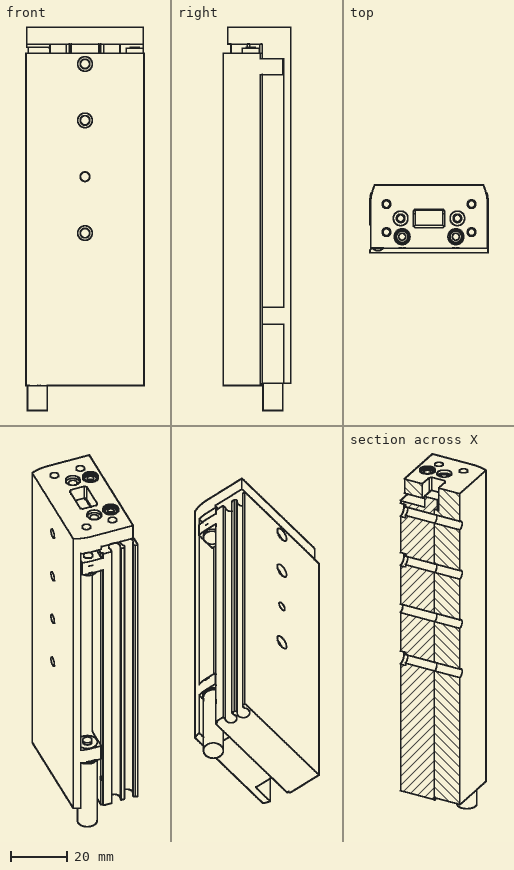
import cadquery as cq
import math


TOTAL_LENGTH = 135.8
TOTAL_DEPTH = 24.0
HOUSING_WIDTH = 42.0
SLIDE_WIDTH = 41.3

HOUSING_BOTTOM = 8.8
HOUSING_TOP = 126.5
SLIDE_BOTTOM = 9.6
YOKE_BOTTOM = 129.8
LEFT_FLANGE_BOTTOM = 128.6
BRACKET_BOTTOM = 119.0
BRACKET_TOP = 124.7
FOOT_BOTTOM = 30.5
FOOT_TOP = 36.7

SPLIT_Y = 13.9
PLATE_UNDERSIDE = 21.5
YOKE_FRONT = 1.6
BRACKET_BACK = 21.2

FLANK_START = 17.7
FLANK_RADIUS = 15.6

EDGE_STEP = 0.7
GROOVE_MOUTHS = ((1.5, 4.6), (6.2, 9.9))
GROOVE_DIAMETERS = (4.5, 4.1)
GROOVE_MOUTH_X = 19.7
TOOTH_HALF_WIDTH = 20.6
LIP_CHAMFER = 0.5
BRACKET_INNER = 13.0
BRACKET_HOLE_DIAMETER = 3.3
OIL_HOLE_DIAMETER = 1.5
OIL_HOLE_Z = 21.0

MOUNT_TOP_Z = 122.8
MOUNT_PITCH = 20.0
MOUNT_COUNT = 4
PLAIN_MOUNT = 2
MOUNT_DIAMETER = 3.3
MOUNT_BORE_DIAMETER = 5.2
MOUNT_BORE_DEPTH = 2.0

BOSS_X, BOSS_Y = 17.7, 9.8
BOSS_DIAMETER = 6.0
BOSS_TOP = 128.3
BOSS_TIP_DIAMETER = 3.3
BOSS_TIP_TOP = 128.7

PORT_HALF_WIDTH = 4.9
PORT_FRONT = 9.8
PORT_BACK = 15.1
PORT_TOP = 130.9

RAIL_HALF_WIDTH = 12.0
NOTCH_FILLET = 1.1
PILLAR_OUTER = 12.4
PILLAR_FRONT = 9.4
PILLAR_BACK = 13.0
WINDOW_WIDTH = 11.1
WINDOW_FRONT = 9.0
WINDOW_BACK = 15.5
WINDOW_CHAMFER = 0.7

THREAD_X = 15.1
THREAD_ROWS = (7.3, 17.2)
THREAD_DIAMETER = 2.5
THREAD_MOUTH_DIAMETER = 3.0
THREAD_MOUTH_DEPTH = 2.7
THREAD_DEPTH = 4.8

SCREW_X, SCREW_Y = 10.0, 12.2
SCREW_DIAMETER = 2.5
SCREW_CLEARANCE_DIAMETER = 3.0
SCREW_CLEARANCE_DEPTH = 4.1
SCREW_BORE_DIAMETER = 5.2
SCREW_BORE_DEPTH = 1.2

ROD_X, ROD_Y = 9.5, 5.7
ROD_DIAMETER = 5.8
ROD_INSERTION = 13.6
ROD_RECESS_DIAMETER = 8.0
ROD_RECESS_DEPTH = 1.4
NECK_DIAMETER = 4.1
ROD_BORE_DIAMETER = 4.5
ROD_BORE_DEPTH = 0.8
ROD_MOUTH_DIAMETER = 5.5
ROD_MOUTH_DEPTH = 0.5
SOCKET_DIAMETER = 2.5
SOCKET_DEPTH = 1.4

DAMPER_X = -16.8
DAMPER_Y = (SPLIT_Y + PLATE_UNDERSIDE) / 2
DAMPER_DIAMETER = 7.0
COLLAR_DIAMETER = 7.5
COLLAR_HEIGHT = 1.0
DAMPER_TIP_DIAMETER = 3.3
DAMPER_TIP_TOP = 37.6

STOP_X, STOP_Y = -17.7, 17.7
STOP_DIAMETER = 6.0
STOP_BOTTOM = 117.7
STOP_TOP = 122.2


def box(x0, x1, y0, y1, z0, z1):
    """Box between two opposite corners."""
    return cq.Workplane("XY").box(x1 - x0, y1 - y0, z1 - z0, centered=False).translate((x0, y0, z0))


def cylinder(x, y, diameter, z0, z1):
    """Upright cylinder."""
    return cq.Workplane("XY", origin=(x, y, z0)).circle(diameter / 2).extrude(z1 - z0)


def flank_x(half_width, y):
    """Half width of a curved flank at depth y, at or behind FLANK_START."""
    radius = FLANK_RADIUS + half_width - SLIDE_WIDTH / 2
    rise = y - FLANK_START
    return half_width - radius + math.sqrt(radius**2 - rise**2)


def flanked_block(half_width, y0, y1, z0, z1):
    """Full-width block with straight sides that curve inward behind FLANK_START."""
    arc_middle = (FLANK_START + y1) / 2
    middle_x = flank_x(half_width, arc_middle)
    end_x = flank_x(half_width, y1)
    return (
        cq.Workplane("XY", origin=(0, 0, z0))
        .moveTo(-half_width, y0)
        .lineTo(half_width, y0)
        .lineTo(half_width, FLANK_START)
        .threePointArc((middle_x, arc_middle), (end_x, y1))
        .lineTo(-end_x, y1)
        .threePointArc((-middle_x, arc_middle), (-half_width, FLANK_START))
        .close()
        .extrude(z1 - z0)
    )


def mount_heights():
    return [MOUNT_TOP_Z - i * MOUNT_PITCH for i in range(MOUNT_COUNT)]


def mount_hole(z, diameter, depth):
    """Cylinder along +Y from the mounting face."""
    return cq.Workplane("XZ", origin=(0, 0, z)).circle(diameter / 2).extrude(-depth)


def groove(front, back, diameter):
    """Lengthwise groove in the left side: a straight mouth that opens into a wider bore."""
    middle = (front + back) / 2
    inset = math.sqrt((diameter / 2) ** 2 - ((back - front) / 2) ** 2)
    bore_x = inset - GROOVE_MOUTH_X
    mouth = box(-HOUSING_WIDTH, bore_x, front, back, HOUSING_BOTTOM, HOUSING_TOP)
    return mouth.union(cylinder(bore_x, middle, diameter, HOUSING_BOTTOM, HOUSING_TOP))


def housing_profile():
    """Cross-section without grooves; on the left, the strip between the grooves is set back."""
    half = HOUSING_WIDTH / 2
    step_x = half - EDGE_STEP
    step_y = SPLIT_Y - EDGE_STEP
    (lip_back, tooth_front), (tooth_back, wing_front) = GROOVE_MOUTHS
    return [
        (half, 0),
        (half, step_y),
        (step_x, step_y),
        (step_x, SPLIT_Y),
        (-step_x, SPLIT_Y),
        (-step_x, step_y),
        (-half, step_y),
        (-half, wing_front),
        (-TOOTH_HALF_WIDTH, tooth_back),
        (-TOOTH_HALF_WIDTH, tooth_front + LIP_CHAMFER),
        (LIP_CHAMFER - TOOTH_HALF_WIDTH, tooth_front),
        (LIP_CHAMFER - half, lip_back),
        (-half, lip_back - LIP_CHAMFER),
        (-half, 0),
    ]


def make_brackets():
    """A bracket on each side, reaching back beside the rail; the left one holds the stop pin."""
    front = SPLIT_Y - EDGE_STEP
    brackets = flanked_block(HOUSING_WIDTH / 2, front, BRACKET_BACK, BRACKET_BOTTOM, BRACKET_TOP)
    rail_gap = box(-BRACKET_INNER, BRACKET_INNER, front, BRACKET_BACK, BRACKET_BOTTOM, BRACKET_TOP)
    pin_bore = cylinder(STOP_X, STOP_Y, STOP_DIAMETER, BRACKET_BOTTOM, STOP_TOP)
    access_hole = cylinder(STOP_X, STOP_Y, BRACKET_HOLE_DIAMETER, STOP_TOP, BRACKET_TOP)
    return brackets.cut(rail_gap).cut(pin_bore).cut(access_hole)


def make_boss():
    """Round boss with a small raised tip."""
    boss = cylinder(BOSS_X, BOSS_Y, BOSS_DIAMETER, HOUSING_TOP, BOSS_TOP)
    return boss.union(cylinder(BOSS_X, BOSS_Y, BOSS_TIP_DIAMETER, BOSS_TOP, BOSS_TIP_TOP))


def make_port_block():
    return box(-PORT_HALF_WIDTH, PORT_HALF_WIDTH, PORT_FRONT, PORT_BACK, HOUSING_TOP, PORT_TOP)


def make_oil_hole():
    """Small hole along Y in the wall of the left edge step."""
    return (
        cq.Workplane("XZ", origin=(EDGE_STEP - HOUSING_WIDTH / 2, SPLIT_Y, OIL_HOLE_Z))
        .circle(OIL_HOLE_DIAMETER / 2)
        .extrude(EDGE_STEP)
    )


def make_housing():
    housing = (
        cq.Workplane("XY", origin=(0, 0, HOUSING_BOTTOM))
        .polyline(housing_profile())
        .close()
        .extrude(HOUSING_TOP - HOUSING_BOTTOM)
    )
    for (front, back), diameter in zip(GROOVE_MOUTHS, GROOVE_DIAMETERS):
        housing = housing.cut(groove(front, back, diameter))

    for index, z in enumerate(mount_heights()):
        housing = housing.cut(mount_hole(z, MOUNT_DIAMETER, SPLIT_Y))
        if index != PLAIN_MOUNT:
            housing = housing.cut(mount_hole(z, MOUNT_BORE_DIAMETER, MOUNT_BORE_DEPTH))

    for x in (-ROD_X, ROD_X):
        for diameter, depth in ((ROD_DIAMETER, ROD_INSERTION), (ROD_RECESS_DIAMETER, ROD_RECESS_DEPTH)):
            housing = housing.cut(cylinder(x, ROD_Y, diameter, HOUSING_TOP - depth, HOUSING_TOP))

    for addition in (make_brackets(), make_boss(), make_port_block()):
        housing = housing.union(addition)
    return housing.cut(make_oil_hole())


def side_space(side, z0, z1):
    """Space beside the rail, in front of the back plate; side is -1 for left and 1 for right."""
    inner = side * RAIL_HALF_WIDTH
    outer = side * HOUSING_WIDTH
    return box(min(inner, outer), max(inner, outer), SPLIT_Y, PLATE_UNDERSIDE, z0, z1)


def side_notch(side, z0, z1):
    """Space beside the rail, rounded where its inner wall meets its ends."""
    inner_face = "<X" if side > 0 else ">X"
    return side_space(side, z0, z1).faces(inner_face).edges("|Y").fillet(NOTCH_FILLET)


def make_pillars():
    """Block under the yoke that the window divides into two short pillars."""
    return box(-PILLAR_OUTER, PILLAR_OUTER, PILLAR_FRONT, PILLAR_BACK, HOUSING_TOP, YOKE_BOTTOM)


def make_window():
    """Rectangular opening through the yoke and between the pillars."""
    half = WINDOW_WIDTH / 2
    return (
        box(-half, half, WINDOW_FRONT, WINDOW_BACK, HOUSING_TOP, TOTAL_LENGTH)
        .edges("|Z")
        .chamfer(WINDOW_CHAMFER)
    )


def thread_hole(x, y):
    hole = cylinder(x, y, THREAD_DIAMETER, TOTAL_LENGTH - THREAD_DEPTH, TOTAL_LENGTH)
    mouth = cylinder(x, y, THREAD_MOUTH_DIAMETER, TOTAL_LENGTH - THREAD_MOUTH_DEPTH, TOTAL_LENGTH)
    return hole.union(mouth)


def make_slide():
    half = SLIDE_WIDTH / 2
    slide = flanked_block(half, SPLIT_Y, TOTAL_DEPTH, SLIDE_BOTTOM, TOTAL_LENGTH)
    slide = slide.union(box(-half, half, YOKE_FRONT, SPLIT_Y, YOKE_BOTTOM, TOTAL_LENGTH))
    slide = slide.union(make_pillars())

    for side, flange_bottom in ((-1, LEFT_FLANGE_BOTTOM), (1, BRACKET_TOP)):
        slide = slide.cut(side_notch(side, FOOT_TOP, flange_bottom))
        slide = slide.cut(side_space(side, SLIDE_BOTTOM, FOOT_BOTTOM))
    slide = slide.cut(cylinder(DAMPER_X, DAMPER_Y, DAMPER_DIAMETER, FOOT_BOTTOM, FOOT_TOP))

    slide = slide.cut(make_window())
    for z in mount_heights():
        slide = slide.cut(mount_hole(z, MOUNT_DIAMETER, TOTAL_DEPTH))

    for side in (-1, 1):
        for row in THREAD_ROWS:
            slide = slide.cut(thread_hole(side * THREAD_X, row))
        bores = (
            (SCREW_X, SCREW_Y, SCREW_DIAMETER, HOUSING_TOP),
            (SCREW_X, SCREW_Y, SCREW_CLEARANCE_DIAMETER, TOTAL_LENGTH - SCREW_CLEARANCE_DEPTH),
            (SCREW_X, SCREW_Y, SCREW_BORE_DIAMETER, TOTAL_LENGTH - SCREW_BORE_DEPTH),
            (ROD_X, ROD_Y, NECK_DIAMETER, YOKE_BOTTOM),
            (ROD_X, ROD_Y, ROD_BORE_DIAMETER, TOTAL_LENGTH - ROD_BORE_DEPTH),
            (ROD_X, ROD_Y, ROD_MOUTH_DIAMETER, TOTAL_LENGTH - ROD_MOUTH_DEPTH),
        )
        for x, y, diameter, bottom in bores:
            slide = slide.cut(cylinder(side * x, y, diameter, bottom, TOTAL_LENGTH))
    return slide


def make_piston_rod(side):
    """Rod from its bore in the housing to the yoke, with a neck and socket in the yoke."""
    x = side * ROD_X
    neck_top = TOTAL_LENGTH - ROD_BORE_DEPTH
    rod = cylinder(x, ROD_Y, ROD_DIAMETER, HOUSING_TOP - ROD_INSERTION, YOKE_BOTTOM)
    rod = rod.union(cylinder(x, ROD_Y, NECK_DIAMETER, YOKE_BOTTOM, neck_top))
    return rod.cut(cylinder(x, ROD_Y, SOCKET_DIAMETER, neck_top - SOCKET_DEPTH, neck_top))


def make_damper():
    """Shock absorber through the left foot of the slide, with a collar below the foot."""
    damper = cylinder(DAMPER_X, DAMPER_Y, DAMPER_DIAMETER, 0, FOOT_TOP)
    collar = cylinder(DAMPER_X, DAMPER_Y, COLLAR_DIAMETER, FOOT_BOTTOM - COLLAR_HEIGHT, FOOT_BOTTOM)
    tip = cylinder(DAMPER_X, DAMPER_Y, DAMPER_TIP_DIAMETER, FOOT_TOP, DAMPER_TIP_TOP)
    return damper.union(collar).union(tip)


def make_stop_pin():
    return cylinder(STOP_X, STOP_Y, STOP_DIAMETER, STOP_BOTTOM, STOP_TOP)


housing = make_housing()
slide = make_slide()
piston_rods = [make_piston_rod(side) for side in (-1, 1)]
damper = make_damper()
stop_pin = make_stop_pin()

result = cq.Compound.makeCompound(
    [housing.val(), slide.val(), *[rod.val() for rod in piston_rods], damper.val(), stop_pin.val()]
)